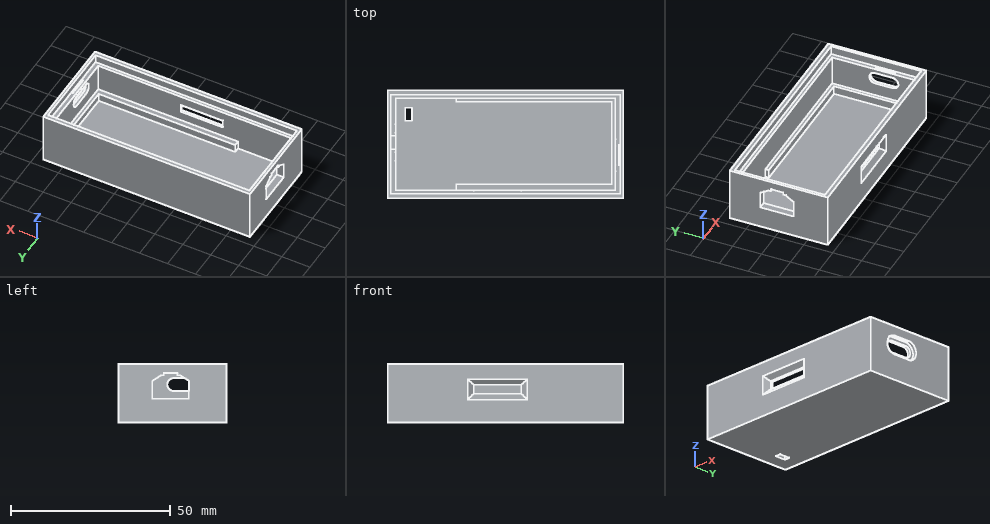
import cadquery as cq

length = 74.0
width = 34.0
height = 18.5
wall = 2.5
floor = 2.5

lid_lip_x = 0.95
lid_lip_y = 1.4
lid_depth = 2.95

rail_height = 2.95
rail_start = 21.45
rail_inset_end = 3.7
rail_inset_back = 3.7
rail_inset_front = 4.4

floor_slot_size_x = 2.0
floor_slot_size_y = 4.0
floor_slot_x = 6.6
floor_slot_y = 7.55

window_x = 34.5
window_z = 10.5
window_length = 18.65
window_height = 6.45
window_inset = 1.81
window_taper_depth = 1.6

connector_y = 0.6
connector_bottom = 7.5
connector_shoulder = 13.1
connector_top = 14.9
connector_half_width = 5.8
connector_half_top = 3.0
key_half_width = 2.15
key_top = 15.7

cable_slot_length = 10.0
cable_slot_height = 4.0
cable_slot_y = -3.4
cable_slot_z = 12.0
cable_slot_web = 1.1
cable_recess_margin = 1.25

left = -length / 2
right = length / 2
front = -width / 2
back = width / 2


def block(x0, x1, y0, y1, z0, z1):
    """Box between the given limits."""
    return cq.Workplane("XY").box(x1 - x0, y1 - y0, z1 - z0, centered=False).translate((x0, y0, z0))


def hollow_box():
    outer = block(left, right, front, back, 0, height)
    cavity = block(left + wall, right - wall, front + wall, back - wall, floor, height)
    recess = block(
        left + lid_lip_x, right - lid_lip_x, front + lid_lip_y, back - lid_lip_y, height - lid_depth, height
    )
    return outer.cut(cavity).cut(recess)


def rail():
    top = floor + rail_height
    overlap = wall / 2
    outer = block(left + rail_start, right - overlap, front + overlap, back - overlap, overlap, top)
    inner = block(left, right - rail_inset_end, front + rail_inset_front, back - rail_inset_back, floor, top)
    return outer.cut(inner)


def floor_slot():
    return (
        cq.Workplane("XY")
        .center(left + floor_slot_x, back - floor_slot_y)
        .rect(floor_slot_size_x, floor_slot_size_y)
        .extrude(floor)
    )


def window():
    inner_length = window_length - 2 * window_inset
    inner_height = window_height - 2 * window_inset
    face = cq.Workplane("XZ", origin=(left + window_x, front, window_z))
    taper = (
        face.rect(window_length, window_height)
        .workplane(offset=-window_taper_depth)
        .rect(inner_length, inner_height)
        .loft(ruled=True)
    )
    return taper.union(face.rect(inner_length, inner_height).extrude(-wall))


def connector_opening():
    plane = cq.Workplane("YZ", origin=(left, connector_y, 0))
    body = (
        plane.moveTo(-connector_half_width, connector_bottom)
        .lineTo(connector_half_width, connector_bottom)
        .lineTo(connector_half_width, connector_shoulder)
        .lineTo(connector_half_top, connector_top)
        .lineTo(-connector_half_top, connector_top)
        .lineTo(-connector_half_width, connector_shoulder)
        .close()
        .extrude(wall)
    )
    key = (
        plane.moveTo(-key_half_width, connector_bottom)
        .lineTo(key_half_width, connector_bottom)
        .lineTo(key_half_width, key_top)
        .lineTo(-key_half_width, key_top)
        .close()
        .extrude(wall)
    )
    return body.union(key)


def cable_slot():
    slot = (
        cq.Workplane("YZ", origin=(right - wall, cable_slot_y, cable_slot_z))
        .slot2D(cable_slot_length, cable_slot_height)
        .extrude(wall)
    )
    recess = (
        cq.Workplane("YZ", origin=(right - wall + cable_slot_web, cable_slot_y, cable_slot_z))
        .slot2D(cable_slot_length + 2 * cable_recess_margin, cable_slot_height + 2 * cable_recess_margin)
        .extrude(wall - cable_slot_web)
    )
    return slot.union(recess)


result = hollow_box().union(rail())
for opening in (floor_slot(), window(), connector_opening(), cable_slot()):
    result = result.cut(opening)